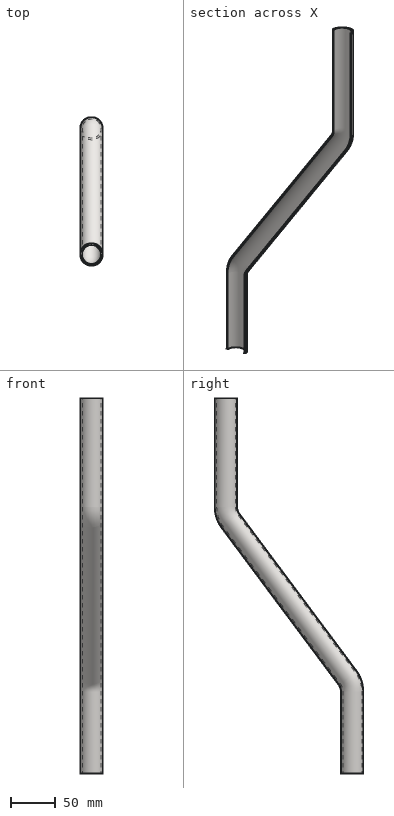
import cadquery as cq
import math

outer_diameter = 25.0
wall = 2.0

height = 417.7
depth = 165.5
lower_leg = 91.5
bend_radius = 25.0
bend_angle = 36.7

angle = math.radians(bend_angle)
offset = depth - outer_diameter
bend_run = bend_radius * (1 - math.cos(angle))
bend_rise = bend_radius * math.sin(angle)
slope_run = offset - 2 * bend_run
slope_rise = slope_run / math.tan(angle)

lower_y = offset / 2
upper_y = -lower_y
bottom_z = -height / 2
top_z = height / 2
lower_bend_start = (lower_y, bottom_z + lower_leg)
lower_bend_end = (lower_y - bend_run, lower_bend_start[1] + bend_rise)
upper_bend_start = (upper_y + bend_run, lower_bend_end[1] + slope_rise)
upper_bend_end = (upper_y, upper_bend_start[1] + bend_rise)

centreline = (
    cq.Workplane("YZ")
    .moveTo(lower_y, bottom_z)
    .lineTo(*lower_bend_start)
    .tangentArcPoint(lower_bend_end, relative=False)
    .lineTo(*upper_bend_start)
    .tangentArcPoint(upper_bend_end, relative=False)
    .lineTo(upper_y, top_z)
)

outer_radius = outer_diameter / 2
result = (
    cq.Workplane("XY", origin=(0, lower_y, bottom_z))
    .circle(outer_radius)
    .circle(outer_radius - wall)
    .sweep(centreline)
)